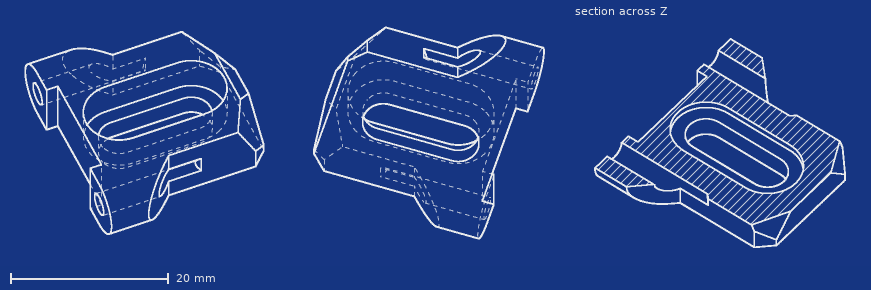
import cadquery as cq

width = 27.75
length = 24.0
height = 8.0

body_half_width = 9.02
lug_radius = height / 2
lug_side_length = 5.13
lug_axis_x = width / 2 - lug_radius
shoulder_y = lug_side_length + width / 2 - body_half_width

nose_chamfer = 2.0
corner_bevel_x = 8.88
corner_bevel_y = 4.45
corner_bevel_z = 8.88

notch_width = 14.0
notch_depth = 1.55

slot_travel = 10.0
slot_width = 5.27
recess_width = 9.07
recess_depth = 5.0

pin_diameter = 2.9
pin_groove_end = 14.5

clearance = 1.4


def make_blank():
    """Stepped plan outline trimmed to the rounded lug section and bevelled nose."""
    half_right = [
        (width / 2, 0),
        (width / 2, lug_side_length),
        (body_half_width, shoulder_y),
        (body_half_width, length - nose_chamfer),
        (body_half_width - nose_chamfer, length),
    ]
    half_left = [(-x, y) for x, y in reversed(half_right)]
    plan = cq.Workplane("XY").polyline(half_right + half_left).close().extrude(height)
    section = (
        cq.Workplane("XZ")
        .center(0, height / 2)
        .slot2D(width, height)
        .extrude(-length)
    )
    return plan.intersect(section)


def nose_top_cutter():
    """Triangular prism along the upper nose edge."""
    return (
        cq.Workplane("YZ", origin=(-width / 2, 0, 0))
        .polyline([
            (length - nose_chamfer, height),
            (length + clearance, height - nose_chamfer - clearance),
            (length + clearance, height),
        ])
        .close()
        .extrude(width)
    )


def corner_cutter(side):
    """Tetrahedron removing one upper nose corner; side is +1 or -1 in X."""
    corner = cq.Vector(side * body_half_width, length, height)
    ends = [
        corner - cq.Vector(side * corner_bevel_x, 0, 0),
        corner - cq.Vector(0, corner_bevel_y, 0),
        corner - cq.Vector(0, 0, corner_bevel_z),
    ]
    triangles = [
        ends,
        [corner, ends[0], ends[1]],
        [corner, ends[1], ends[2]],
        [corner, ends[2], ends[0]],
    ]
    faces = [cq.Face.makeFromWires(cq.Wire.makePolygon(t, close=True)) for t in triangles]
    return cq.Solid.makeSolid(cq.Shell.makeShell(faces)).fix()


def slot_cutter(slot_diameter, floor_z):
    """Rounded slot along Y from floor_z up through the top face."""
    return (
        cq.Workplane("XY", origin=(0, length / 2, floor_z))
        .slot2D(slot_travel + slot_diameter, slot_diameter, 90)
        .extrude(height - floor_z)
    )


def pin_cutter(side):
    """Pin hole whose side groove ends on a 45 degree plane."""
    bore = (
        cq.Workplane("XZ")
        .center(side * lug_axis_x, height / 2)
        .circle(pin_diameter / 2)
        .extrude(-length)
    )
    inner_x = body_half_width - pin_diameter
    outer_x = body_half_width + pin_diameter
    trim = (
        cq.Workplane("XY")
        .polyline([
            (side * inner_x, 0),
            (side * outer_x, 0),
            (side * outer_x, pin_groove_end + pin_diameter),
            (side * inner_x, pin_groove_end - pin_diameter),
        ])
        .close()
        .extrude(height)
    )
    return bore.intersect(trim)


notch = cq.Workplane("XY").rect(notch_width, 2 * notch_depth).extrude(height)

result = (
    make_blank()
    .cut(nose_top_cutter())
    .cut(notch)
    .cut(slot_cutter(slot_width, 0))
    .cut(slot_cutter(recess_width, height - recess_depth))
)
for side in (-1, 1):
    result = result.cut(cq.Workplane(obj=corner_cutter(side)))
    result = result.cut(pin_cutter(side))